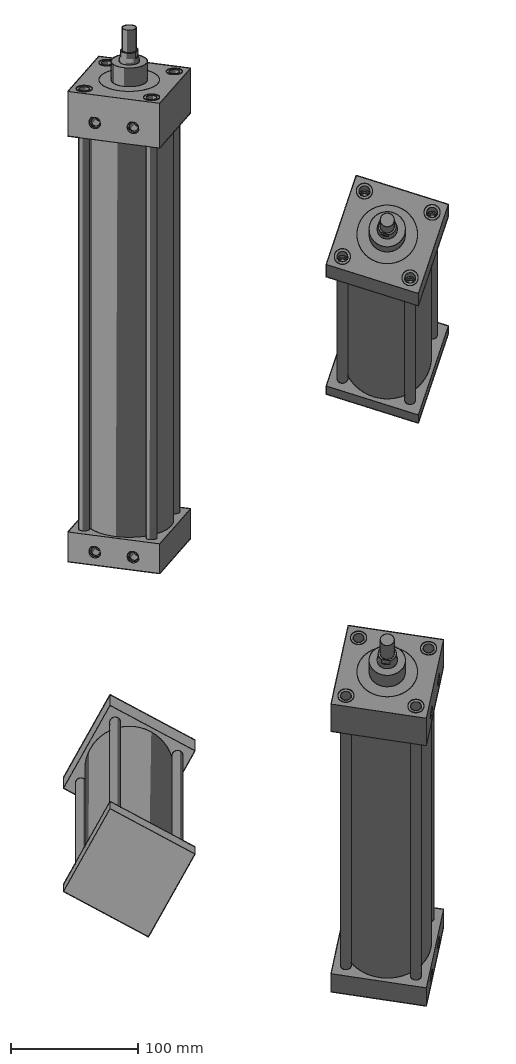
import cadquery as cq
import math

BLOCK_SIDE = 76.2
CAP_HEIGHT = 25.4
TUBE_LENGTH = 336.55
HEAD_HEIGHT = 38.1

TUBE_DIAMETER = 69.85
TIE_ROD_DIAMETER = 8.73
TIE_ROD_OFFSET = 27.94

MOUNT_BORE_DIAMETER = 12.7
MOUNT_BORE_DEPTH = 0.4
MOUNT_THREAD_DIAMETER = 8.4
MOUNT_THREAD_DEPTH = 12.7
MOUNT_CORE_DIAMETER = 6.0
MOUNT_CORE_DEPTH = 19.05
PORT_DIAMETER = 9.525
PORT_DEPTH = 2.4
PORT_CORE_DIAMETER = 7.2
PORT_CORE_DEPTH = 12.7
PORT_OFFSET = 15.875
HEAD_PORT_DROP = 23.8125
CAP_PORT_HEIGHT = 11.1125
DRILL_POINT_ANGLE = 118.0

GLAND_DIAMETER = 47.625
COLLAR_DIAMETER = 28.575
COLLAR_HEIGHT = 15.875
ROD_DIAMETER = 15.875
ROD_LENGTH = 1.5875
TAPER_LENGTH = 2.78
FLAT_ZONE_DIAMETER = 14.2875
FLAT_ZONE_LENGTH = 5.1575
ACROSS_FLATS = 12.7
STUD_DIAMETER = 11.1125
STUD_LENGTH = 19.05

HEAD_BOTTOM = CAP_HEIGHT + TUBE_LENGTH
HEAD_TOP = HEAD_BOTTOM + HEAD_HEIGHT
COLLAR_TOP = HEAD_TOP + COLLAR_HEIGHT
TAPER_BOTTOM = COLLAR_TOP + ROD_LENGTH
FLAT_BOTTOM = TAPER_BOTTOM + TAPER_LENGTH
FLAT_TOP = FLAT_BOTTOM + FLAT_ZONE_LENGTH
STUD_TOP = FLAT_TOP + STUD_LENGTH


def cylinder(diameter, bottom, top):
    """Cylinder on the main axis between two heights."""
    return cq.Workplane("XY").workplane(offset=bottom).circle(diameter / 2).extrude(top - bottom)


def block(bottom, top):
    """Square end block between two heights."""
    return cq.Workplane("XY").workplane(offset=bottom).rect(BLOCK_SIDE, BLOCK_SIDE).extrude(top - bottom)


def stepped_hole(steps):
    """Cutter for a hole opening at the origin and running down -Z, ending in a drill point.

    Each step is a diameter and the depth it reaches, from the widest step to the narrowest.
    """
    outline = cq.Workplane("XZ").moveTo(0, 0)
    step_start = 0
    for diameter, depth in steps:
        outline = outline.lineTo(diameter / 2, -step_start).lineTo(diameter / 2, -depth)
        step_start = depth
    last_diameter, last_depth = steps[-1]
    point_length = last_diameter / 2 / math.tan(math.radians(DRILL_POINT_ANGLE / 2))
    outline = outline.lineTo(0, -last_depth - point_length).close()
    return outline.revolve(360, (0, 0, 0), (0, 1, 0))


def make_housing():
    """Cap, tube, tie rods and head as one solid, bored through the head for the gland."""
    body = block(0, CAP_HEIGHT).union(cylinder(TUBE_DIAMETER, CAP_HEIGHT, HEAD_BOTTOM))
    body = body.union(block(HEAD_BOTTOM, HEAD_TOP))
    sides = (-TIE_ROD_OFFSET, TIE_ROD_OFFSET)
    corners = [(x, y) for x in sides for y in sides]

    tie_rod = cylinder(TIE_ROD_DIAMETER, CAP_HEIGHT, HEAD_BOTTOM)
    mount_hole = stepped_hole(
        [
            (MOUNT_BORE_DIAMETER, MOUNT_BORE_DEPTH),
            (MOUNT_THREAD_DIAMETER, MOUNT_THREAD_DEPTH),
            (MOUNT_CORE_DIAMETER, MOUNT_CORE_DEPTH),
        ]
    )
    for x, y in corners:
        body = body.union(tie_rod.translate((x, y, 0)))
        body = body.cut(mount_hole.translate((x, y, HEAD_TOP)))

    port = stepped_hole([(PORT_DIAMETER, PORT_DEPTH), (PORT_CORE_DIAMETER, PORT_CORE_DEPTH)])
    port = port.rotate((0, 0, 0), (1, 0, 0), 90)
    for z in (CAP_PORT_HEIGHT, HEAD_TOP - HEAD_PORT_DROP):
        for x in (-PORT_OFFSET, PORT_OFFSET):
            body = body.cut(port.translate((x, -BLOCK_SIDE / 2, z)))

    return body.cut(cylinder(GLAND_DIAMETER, HEAD_BOTTOM, HEAD_TOP))


def make_gland_and_rod():
    """Gland filling the head bore, with its collar, the tapered rod, two wrench flats and the stud."""
    body = cylinder(GLAND_DIAMETER, HEAD_BOTTOM, HEAD_TOP)
    body = body.union(cylinder(COLLAR_DIAMETER, HEAD_TOP, COLLAR_TOP))
    body = body.union(cylinder(ROD_DIAMETER, COLLAR_TOP, TAPER_BOTTOM))
    taper = (
        cq.Workplane("XY")
        .workplane(offset=TAPER_BOTTOM)
        .circle(ROD_DIAMETER / 2)
        .workplane(offset=TAPER_LENGTH)
        .circle(FLAT_ZONE_DIAMETER / 2)
        .loft()
    )
    body = body.union(taper)
    flat_slab = (
        cq.Workplane("XY")
        .workplane(offset=FLAT_BOTTOM)
        .rect(ACROSS_FLATS, FLAT_ZONE_DIAMETER)
        .extrude(FLAT_ZONE_LENGTH)
    )
    body = body.union(cylinder(FLAT_ZONE_DIAMETER, FLAT_BOTTOM, FLAT_TOP).intersect(flat_slab))
    return body.union(cylinder(STUD_DIAMETER, FLAT_TOP, STUD_TOP))


housing = make_housing()
gland_and_rod = make_gland_and_rod()

result = cq.Compound.makeCompound([housing.val(), gland_and_rod.val()])